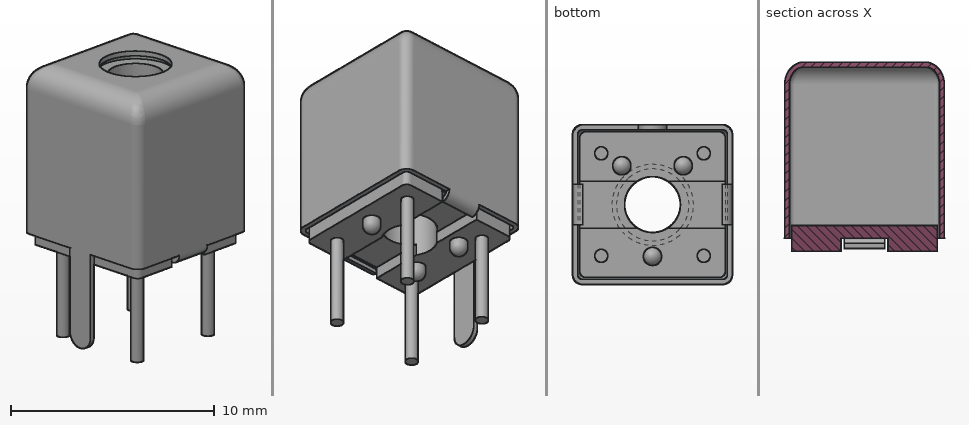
import cadquery as cq

TOTAL_HEIGHT = 14.22
BASE_UNDERSIDE = 4.8
CAN_EDGE = 5.45

CAN_WIDTH = 7.86
SHEET = 0.25
CORNER_RADIUS = 0.5
CROWN_RADIUS = 1.2
WINDOW_DIAMETER = 3.55

GROUND_TAB_WIDTH = 1.4
GROUND_TAB_TIP = 0.35

CURL_WIDTH = 2.0
CURL_RADIUS = 0.5

BASE_WIDTH = 7.15
BASE_CORNER_RADIUS = 0.3
CHANNEL_WIDTH = 2.3
BASE_PLATE_THICKNESS = 0.64
TUBE_DIAMETER = 4.0
BORE_DIAMETER = 2.73
TUBE_TOP_DEPTH = 0.5

PIN_DIAMETER = 0.64
PIN_OFFSET = 2.52
FOOT_DIAMETER = 0.9
FOOT_HEIGHT = 0.75
FRONT_FOOT_X = 1.51
FRONT_FOOT_Y = -1.9
BACK_FOOT_Y = 2.55

CAN_HALF = CAN_WIDTH / 2
CAN_HEIGHT = TOTAL_HEIGHT - CAN_EDGE
TUBE_TOP = TOTAL_HEIGHT - TUBE_TOP_DEPTH
PIN_PLACES = [(x, y) for x in (-PIN_OFFSET, PIN_OFFSET) for y in (-PIN_OFFSET, PIN_OFFSET)]
FOOT_PLACES = [(-FRONT_FOOT_X, FRONT_FOOT_Y), (FRONT_FOOT_X, FRONT_FOOT_Y), (0, BACK_FOOT_Y)]


def crowned_block(width, height, corner_radius, crown_radius):
    """Square block standing on the can edge, with rounded corners and a rounded top rim."""
    block = cq.Workplane("XY").workplane(offset=CAN_EDGE).rect(width, width).extrude(height)
    return block.faces(">Z").edges().fillet(crown_radius).edges("|Z").fillet(corner_radius)


def cylinder(diameter, bottom, top, place=(0, 0)):
    """Upright cylinder between two levels."""
    return cq.Workplane("XY", origin=(*place, bottom)).circle(diameter / 2).extrude(top - bottom)


def make_ground_tab():
    """Flat strip hanging from the -Y wall, ending in a full round tip."""
    half_width = GROUND_TAB_WIDTH / 2
    tip_centre = GROUND_TAB_TIP + half_width
    return (
        cq.Workplane("XZ", origin=(0, -CAN_HALF, 0))
        .moveTo(-half_width, CAN_EDGE)
        .lineTo(-half_width, tip_centre)
        .threePointArc((0, GROUND_TAB_TIP), (half_width, tip_centre))
        .lineTo(half_width, CAN_EDGE)
        .close()
        .extrude(-SHEET)
    )


def make_curl():
    """Quarter-round bend under the -X wall."""
    wall_section = (
        cq.Workplane("XY", origin=(0, 0, CAN_EDGE))
        .center(SHEET / 2 - CAN_HALF, 0)
        .rect(SHEET, CURL_WIDTH)
    )
    axis_x = CURL_RADIUS - SHEET / 2
    return wall_section.revolve(90, (axis_x, 0), (axis_x, -1))


def make_can():
    outside = crowned_block(CAN_WIDTH, CAN_HEIGHT, CORNER_RADIUS, CROWN_RADIUS)
    cavity = crowned_block(
        CAN_WIDTH - 2 * SHEET, CAN_HEIGHT - SHEET, CORNER_RADIUS - SHEET, CROWN_RADIUS - SHEET
    )
    window = cylinder(WINDOW_DIAMETER, CAN_EDGE, TOTAL_HEIGHT)
    curl = make_curl()
    return (
        outside.cut(cavity)
        .cut(window)
        .union(make_ground_tab())
        .union(curl)
        .union(curl.mirror("YZ"))
    )


def make_base():
    """Slotted plate carrying the coil tube, bored from top to bottom."""
    plate_top = CAN_EDGE + BASE_PLATE_THICKNESS
    plate = (
        cq.Workplane("XY", origin=(0, 0, BASE_UNDERSIDE))
        .rect(BASE_WIDTH, BASE_WIDTH)
        .extrude(plate_top - BASE_UNDERSIDE)
        .edges("|Z")
        .fillet(BASE_CORNER_RADIUS)
    )
    channel = (
        cq.Workplane("XY", origin=(0, 0, BASE_UNDERSIDE))
        .rect(BASE_WIDTH, CHANNEL_WIDTH)
        .extrude(CAN_EDGE - BASE_UNDERSIDE)
    )
    tube = cylinder(TUBE_DIAMETER, plate_top, TUBE_TOP)
    bore = cylinder(BORE_DIAMETER, BASE_UNDERSIDE, TUBE_TOP)
    return plate.cut(channel).union(tube).cut(bore)


def make_pin(place):
    return cylinder(PIN_DIAMETER, 0, BASE_UNDERSIDE, place)


def make_foot(place):
    """Short standoff below the base, with a hemispherical end."""
    radius = FOOT_DIAMETER / 2
    tip = -FOOT_HEIGHT
    return (
        cq.Workplane("XZ", origin=(*place, BASE_UNDERSIDE))
        .lineTo(radius, 0)
        .lineTo(radius, tip + radius)
        .radiusArc((0, tip), radius)
        .close()
        .revolve(360, (0, 0), (0, 1))
    )


can = make_can()
base = make_base()
pins = [make_pin(place).val() for place in PIN_PLACES]
feet = [make_foot(place).val() for place in FOOT_PLACES]

result = cq.Compound.makeCompound([can.val(), base.val(), *pins, *feet])